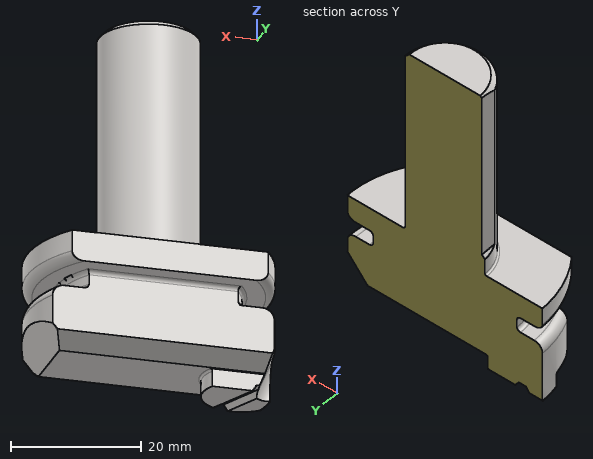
import cadquery as cq
import math

TOTAL_HEIGHT = 58.0
BODY_BOTTOM = 2.9
BODY_TOP = 12.05
FLANGE_BOTTOM = 15.0
FLANGE_TOP = 19.95

HEAD_RADIUS = 19.5
FLANGE_WIDTH = 23.0
BODY_WIDTH = 16.0
NECK_RADIUS = 14.4
FLANGE_ROUNDING = 1.5
BODY_ROUNDING = 1.7
NECK_FILLET = 0.7
NECK_BASE_FILLET = 0.7

SHANK_RADIUS = BODY_WIDTH / 2
SHANK_CHAMFER = 0.9
SHANK_FILLET = 0.35
FLAT_X = -7.395
FLAT_BOTTOM = 23.95

FRONT_CHAMFER = 0.7
BACK_BEVEL_WIDTH = 4.0
BACK_BEVEL_HEIGHT = 1.85
END_BEVEL_LENGTH = 4.0
END_BEVEL_HEIGHT = 4.8

FOOT_RADIUS = 6.25
FOOT_X = -14.75
FOOT_Y = 0.7
FOOT_BACK = 3.6
FOOT_END_FRONT = -3.75
FOOT_FILLET = 0.35

FLUTE_RADIUS = 2.05
FLUTE_WALL_Y = -0.3
FLUTE_FLOOR_X = -16.65
FLUTE_SLOPE = 23.5
FLUTE_TWIST = -10.0
FLUTE_SIZE = 34.8

GROOVE_X = -12.95
GROOVE_WIDTH = 2.55
GROOVE_TOP_WIDTH = 1.3
GROOVE_HEIGHT = 1.0
GROOVE_ANGLE = 24.0


def disc_and_slab(radius, width, bottom, top):
    """Disc, and the slab that trims it to flats facing -Y and +Y."""
    height = top - bottom
    disc = cq.Workplane("XY").workplane(offset=bottom).circle(radius).extrude(height)
    slab = cq.Workplane("XY").workplane(offset=bottom).rect(2 * radius, width).extrude(height)
    return disc, slab


def along_x(points):
    """Prism of a YZ outline running the whole length of the head."""
    return cq.Workplane("YZ").polyline(points).close().extrude(HEAD_RADIUS, both=True)


def make_shank():
    height = TOTAL_HEIGHT - FLANGE_TOP
    shank = cq.Workplane("XY").workplane(offset=FLANGE_TOP).circle(SHANK_RADIUS).extrude(height)
    shank = shank.faces(">Z").chamfer(SHANK_CHAMFER)
    depth = SHANK_RADIUS + FLAT_X
    flat = (
        cq.Workplane("XZ")
        .polyline([
            (FLAT_X, TOTAL_HEIGHT),
            (FLAT_X, FLAT_BOTTOM),
            (-SHANK_RADIUS, FLAT_BOTTOM - depth),
            (-SHANK_RADIUS, TOTAL_HEIGHT),
        ])
        .close()
        .extrude(SHANK_RADIUS, both=True)
    )
    return shank.cut(flat)


def make_shank_fillet():
    """Concave ring where the shank meets the flange."""
    outer = SHANK_RADIUS + SHANK_FILLET
    reach = SHANK_FILLET * (1 - math.sqrt(0.5))
    return (
        cq.Workplane("XZ")
        .moveTo(0, FLANGE_TOP)
        .lineTo(outer, FLANGE_TOP)
        .threePointArc((SHANK_RADIUS + reach, FLANGE_TOP + reach), (SHANK_RADIUS, FLANGE_TOP + SHANK_FILLET))
        .lineTo(0, FLANGE_TOP + SHANK_FILLET)
        .close()
        .revolve(360, (0, 0, 0), (0, 1, 0))
    )


def make_head():
    """Flange, neck and body, rounded where they face the neck groove."""
    disc, slab = disc_and_slab(HEAD_RADIUS, FLANGE_WIDTH, FLANGE_BOTTOM, FLANGE_TOP)
    flange = disc.faces("<Z").edges().fillet(FLANGE_ROUNDING).intersect(slab)

    disc, slab = disc_and_slab(HEAD_RADIUS, BODY_WIDTH, 0, BODY_TOP)
    body = disc.faces(">Z").edges().fillet(BODY_ROUNDING).intersect(slab)

    disc, slab = disc_and_slab(NECK_RADIUS, BODY_WIDTH, BODY_TOP, FLANGE_BOTTOM)
    head = flange.union(disc.intersect(slab))
    below_flange = cq.selectors.BoxSelector(
        (-NECK_RADIUS - 0.6, -SHANK_RADIUS - 0.6, FLANGE_BOTTOM - 0.05),
        (NECK_RADIUS + 0.6, SHANK_RADIUS + 0.6, FLANGE_BOTTOM + 0.05),
    )
    head = head.edges(below_flange).fillet(NECK_FILLET)
    head = head.union(body)
    above_body = cq.selectors.BoxSelector(
        (-NECK_RADIUS - 0.6, -0.6, BODY_TOP - 0.05),
        (NECK_RADIUS + 0.6, 0.6, BODY_TOP + 0.05),
    )
    return head.edges(above_body).edges("%CIRCLE").fillet(NECK_BASE_FILLET)


def make_foot_surroundings():
    """Space to clear below the body, all around the foot."""
    foot = cq.Workplane("XY").center(FOOT_X, FOOT_Y).circle(FOOT_RADIUS).extrude(BODY_BOTTOM)
    end_x = -HEAD_RADIUS
    end_block = cq.Workplane("XY").box(
        FOOT_X - end_x, FOOT_BACK - FOOT_END_FRONT, BODY_BOTTOM, centered=False
    ).translate((end_x, FOOT_END_FRONT, 0))
    back = cq.Workplane("XY").box(
        4 * FOOT_RADIUS, FOOT_RADIUS, BODY_BOTTOM, centered=(True, False, False)
    ).translate((FOOT_X, FOOT_BACK, 0))
    foot = foot.union(end_block).cut(back)
    around = cq.Workplane("XY").circle(HEAD_RADIUS + 0.6).extrude(BODY_BOTTOM)
    return around.cut(foot)


def fillet_foot(head):
    """Round the inner corner between the foot's curved side and the body."""
    corner = cq.selectors.BoxSelector(
        (FOOT_X, FOOT_Y - FOOT_RADIUS, BODY_BOTTOM - 0.05),
        (FOOT_X + FOOT_RADIUS, FOOT_Y, BODY_BOTTOM + 0.05),
    )
    return head.edges(corner).edges("%CIRCLE").fillet(FOOT_FILLET)


def make_underside_cuts():
    side = BODY_WIDTH / 2
    front = along_x([
        (-side, BODY_BOTTOM),
        (-side, BODY_BOTTOM + FRONT_CHAMFER),
        (-side + FRONT_CHAMFER, BODY_BOTTOM),
    ])
    back = along_x([
        (side, BODY_BOTTOM),
        (side, BODY_BOTTOM + BACK_BEVEL_HEIGHT),
        (side - BACK_BEVEL_WIDTH, BODY_BOTTOM),
    ])
    end = (
        cq.Workplane("XZ")
        .polyline([
            (HEAD_RADIUS, BODY_BOTTOM),
            (HEAD_RADIUS, BODY_BOTTOM + END_BEVEL_HEIGHT),
            (HEAD_RADIUS - END_BEVEL_LENGTH, BODY_BOTTOM),
        ])
        .close()
        .extrude(side, both=True)
    )
    return front.union(back).union(end)


def make_flute():
    flute = (
        cq.Workplane("XY")
        .box(FLUTE_SIZE, FLUTE_SIZE, FLUTE_SIZE)
        .translate((-FLUTE_SIZE / 2, FLUTE_SIZE / 2, 0))
        .edges(">X and <Y")
        .fillet(FLUTE_RADIUS)
    )
    pivot = (0, FLUTE_RADIUS, 0)
    flute = flute.rotate(pivot, (0, FLUTE_RADIUS, 1), FLUTE_TWIST)
    flute = flute.rotate((0, 0, 0), (0, 1, 0), -FLUTE_SLOPE)
    return flute.translate((FLUTE_FLOOR_X, FLUTE_WALL_Y, 0))


def make_groove():
    groove = (
        cq.Workplane("XZ")
        .polyline([
            (-GROOVE_WIDTH / 2, 0),
            (GROOVE_WIDTH / 2, 0),
            (GROOVE_TOP_WIDTH / 2, GROOVE_HEIGHT),
            (-GROOVE_TOP_WIDTH / 2, GROOVE_HEIGHT),
        ])
        .close()
        .extrude(FOOT_RADIUS * 2, both=True)
    )
    groove = groove.rotate((0, 0, 0), (0, 0, 1), GROOVE_ANGLE)
    return groove.translate((GROOVE_X, FOOT_Y - FOOT_RADIUS, 0))


head = make_head()
head = head.cut(make_foot_surroundings())
head = fillet_foot(head)
head = head.cut(make_underside_cuts())
head = head.cut(make_flute())
head = head.cut(make_groove())
result = head.union(make_shank_fillet()).union(make_shank())